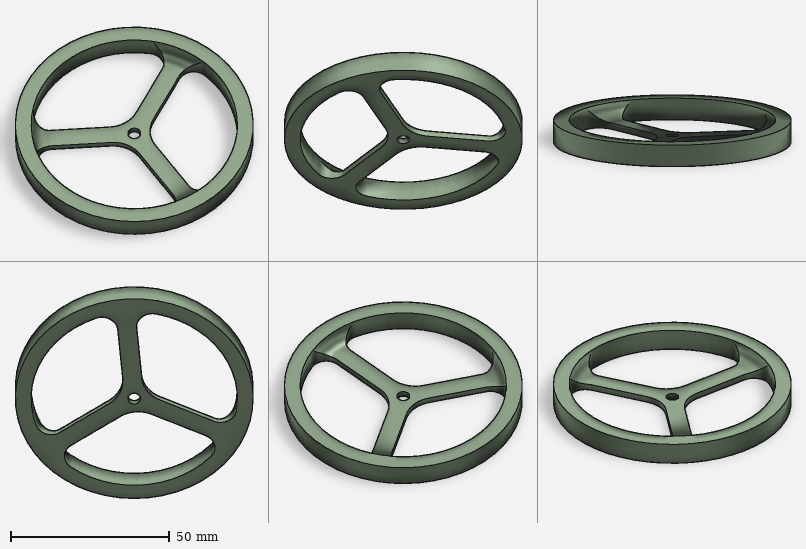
import cadquery as cq
import math

outer_diameter = 75.0
rim_bore_diameter = 65.0
rim_height = 7.0
spoke_count = 3
spoke_width = 6.0
spoke_thickness = 2.0
shaft_diameter = 4.0
hub_fillet = 10.0
flare_fillet = 5.0

outer_radius = outer_diameter / 2
bore_radius = rim_bore_diameter / 2
blend_radius = rim_height - spoke_thickness
half_window_angle = math.pi / spoke_count


def make_blank():
    """Solid wheel: thin web, concave blend and full-height rim."""
    blend_middle = (
        bore_radius - blend_radius * (1 - math.sin(math.pi / 4)),
        rim_height - blend_radius * math.cos(math.pi / 4),
    )
    return (
        cq.Workplane("XZ")
        .lineTo(outer_radius, 0)
        .lineTo(outer_radius, rim_height)
        .lineTo(bore_radius, rim_height)
        .threePointArc(blend_middle, (bore_radius - blend_radius, spoke_thickness))
        .lineTo(0, spoke_thickness)
        .close()
        .revolve(360, (0, 0, 0), (0, 1, 0))
    )


def make_window():
    """Cutter for the opening on the -Y side, between two spokes."""
    apex_y = -spoke_width / 2 / math.sin(half_window_angle)
    reach = outer_diameter
    side_x = reach * math.sin(half_window_angle)
    side_y = apex_y - reach * math.cos(half_window_angle)
    wedge = (
        cq.Workplane("XY")
        .polyline([(0, apex_y), (side_x, side_y), (0, -2 * reach), (-side_x, side_y)])
        .close()
        .extrude(rim_height)
    )
    bore = cq.Workplane("XY").circle(bore_radius).extrude(rim_height)
    sector = bore.intersect(wedge)
    sector = sector.edges("|Z").edges(">Y").fillet(hub_fillet)
    return sector.edges("|Z").edges("<X or >X").fillet(flare_fillet)


wheel = make_blank()
window = make_window()
for index in range(spoke_count):
    wheel = wheel.cut(window.rotate((0, 0, 0), (0, 0, 1), index * 360 / spoke_count))

shaft_hole = cq.Workplane("XY").circle(shaft_diameter / 2).extrude(spoke_thickness)
result = wheel.cut(shaft_hole)